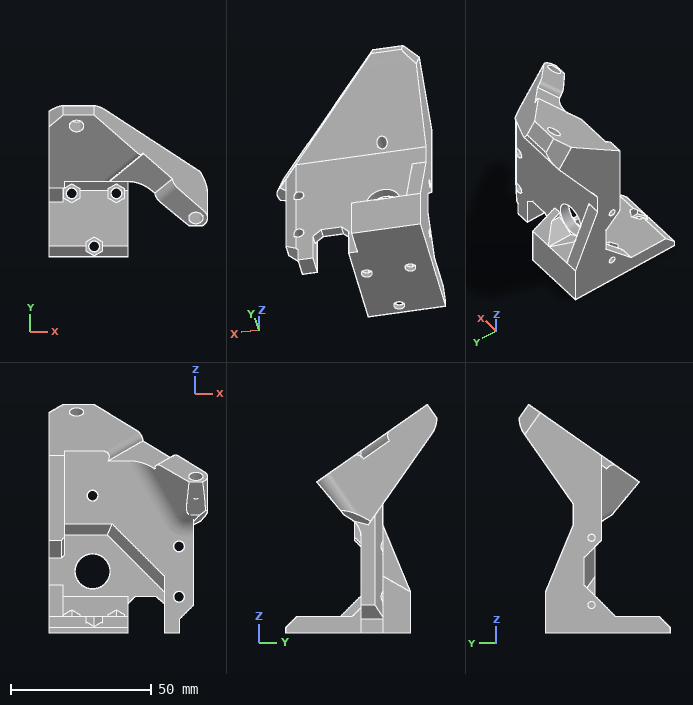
import cadquery as cq
import math

height = 81.5

wall_width = 51.6
wall_front = 26.8
wall_back = 34.6
waist_bottom = 38.6
waist_top = 45.95
rear_corner_width = 4.2
rear_corner_depth = 2.8

foot_width = 28.2
foot_back = 44.6
foot_thickness = 5.95
foot_chamfer = 4.0

tilt = 35.0
head_top_back = 50.5
head_back = 53.9
head_under_turn = 10.0
corner_chamfer = 5.05
head_top_right = 16.1

arm_tip = (52.4, -44.7)
arm_tip_radius = 4.15
arm_underside_fall = 0.62
arm_corner_cut_point = (54.1, 30.2, 39.9)
arm_corner_cut_rise = 0.6
arm_corner_cut_fall = 0.25
arm_nose_bottom = 42.0
arm_nose_y = 11.1
arm_nose_lean = 39.7
arm_edge_round = 4.1
arm_lower_edge_near = (47.7, 23.6, 39.9)
arm_root_fillet = 7.2

channel_start = 33.8
channel_end = 55.1
channel_depth = 2.85
channel_round = 3.0

flange_width = 5.6
flange_front = 24.5
flange_bottom = 33.1
flange_corner = 1.1
rib_width = 5.05
rib_start = 19.55

pocket_floor = 30.8
pocket_top = 38.95
pocket_bend_x = 22.5
leg_left = 41.15
leg_right = 46.6
leg_chamfer_bottom = 5.05

notch_top = 13.0
notch_corner = 2.6
notch_leg_run = 3.0

block_width = 25.0
block_back_top = 14.7
block_wall_top = 20.4

bore_at = (15.6, 22.0)
bore_diameter = 12.4
nut_seat_flats = 13.0
wall_hole_diameter = 3.75
wall_holes = [(15.6, 49.0), (46.35, 30.9), (46.35, 12.95)]
head_hole_diameter = 5.05
head_hole_at = (9.85, -4.7)
head_hole_depth = 6.0
arm_hole_depth = 8.0
pin_hole_diameter = 2.5
pin_hole_depth = 4.0
pin_hole_y = 28.1
pin_hole_heights = (10.0, 34.0)
foot_hole_diameter = 3.75
nut_flats = 5.8
nut_pocket_floor = 2.0
foot_holes = [(8.15, 22.65), (24.0, 22.65), (16.1, 3.75)]

far = 2 * height
above = 1.2 * height

sin_tilt = math.sin(math.radians(tilt))
cos_tilt = math.cos(math.radians(tilt))
head_plane = cq.Plane(
    origin=(0, head_top_back, height), xDir=(1, 0, 0), normal=(0, -sin_tilt, cos_tilt)
)


def side_prism(points, width):
    """Prism from X = 0 with a (Y, Z) outline."""
    return cq.Workplane("YZ").polyline(points).close().extrude(width)


def front_prism(points):
    """Prism through the whole part along Y with an (X, Z) outline."""
    return cq.Workplane("XZ").polyline(points).close().extrude(-far)


def half_space(point, normal):
    """Large block filling the side of a plane that the normal points to."""
    return cq.Workplane(cq.Plane(origin=point, normal=normal)).rect(2 * far, 2 * far).extrude(far)


tip_x, tip_v = arm_tip
tip_distance = math.hypot(tip_x - head_top_right, tip_v)
slope_angle = math.atan2(tip_v, tip_x - head_top_right) + math.asin(arm_tip_radius / tip_distance)
slope_end = (
    tip_x - arm_tip_radius * math.sin(slope_angle),
    tip_v + arm_tip_radius * math.cos(slope_angle),
)
diagonal = math.sqrt(0.5)
arm_left_end = (tip_x - arm_tip_radius * diagonal, tip_v - arm_tip_radius * diagonal)


def head_outline():
    """Tilted prism bounded by the corner chamfer, the long slope and the round arm tip."""
    outline = (
        cq.Workplane(head_plane)
        .moveTo(0, -far)
        .lineTo(0, -corner_chamfer)
        .lineTo(corner_chamfer, 0)
        .lineTo(head_top_right, 0)
        .lineTo(*slope_end)
        .threePointArc((tip_x + arm_tip_radius, tip_v), (tip_x, tip_v - arm_tip_radius))
        .lineTo(tip_x, -far)
        .close()
    )
    return outline.extrude(far, both=True)


turn_y = head_back - head_under_turn * (1 - cos_tilt)
turn_z = waist_top + (turn_y - wall_back) * cos_tilt / sin_tilt
turn_top_z = turn_z + head_under_turn * sin_tilt
half_tilt = math.radians(tilt / 2)
turn_middle = (
    head_back - head_under_turn * (1 - math.cos(half_tilt)),
    turn_top_z - head_under_turn * math.sin(half_tilt),
)


def wall_slab(front, bottom, width):
    """Slab along X, upright below the waist and leaning back above it."""
    outline = (
        cq.Workplane("YZ")
        .moveTo(front, bottom)
        .lineTo(wall_back, bottom)
        .lineTo(wall_back, waist_top)
        .lineTo(turn_y, turn_z)
        .threePointArc(turn_middle, (head_back, turn_top_z))
        .lineTo(head_back, above)
        .lineTo(front, above)
        .close()
    )
    return outline.extrude(width)


nose_lean = math.radians(arm_nose_lean)
nose_z = height - (head_top_back - arm_nose_y) * sin_tilt / cos_tilt
nose_bottom_y = arm_nose_y + (nose_z - arm_nose_bottom) * math.tan(nose_lean)


def arm_block(x_start, x_end):
    """Stretch of the arm between two X planes, open toward the long slope and the top face."""
    left_face_normal = head_plane.xDir + head_plane.yDir
    left_face_point = head_plane.toWorldCoords(arm_left_end)
    block = cq.Workplane(origin=(x_start, 0, 0)).box(x_end - x_start, wall_back, above, centered=False)
    block = block.cut(half_space(left_face_point, -left_face_normal))
    block = block.cut(half_space((0, wall_back, waist_top), (0, cos_tilt, -sin_tilt)))
    block = block.cut(half_space((0, nose_bottom_y, arm_nose_bottom), (0, -arm_underside_fall, -1)))
    nose_normal = (0, -math.cos(nose_lean), -math.sin(nose_lean))
    return block.cut(half_space((0, arm_nose_y, nose_z), nose_normal))


def rear_corner():
    """Wedge taken off the wall's right rear corner, level with the foot of the long slope."""
    outline = [
        (wall_width, wall_back),
        (wall_width - rear_corner_width, wall_back),
        (wall_width, wall_back - rear_corner_depth),
    ]
    return cq.Workplane().polyline(outline).close().extrude(waist_top)


def wall_with_arm_root():
    """Wall and the near part of the arm, blended where they meet."""
    root = arm_block(0, wall_width)
    lower_left_edge = cq.selectors.NearestToPointSelector(arm_lower_edge_near)
    root = root.edges(lower_left_edge).fillet(arm_edge_round)
    body = wall_slab(wall_front, 0, wall_width).cut(rear_corner()).union(root)
    margin = 0.1
    meeting_edges = cq.selectors.BoxSelector(
        (margin, wall_front - margin, margin),
        (wall_width - margin, wall_front + margin, above - margin),
    )
    return body.edges(meeting_edges).fillet(arm_root_fillet)


def arm_tip_block():
    """Part of the arm that reaches past the wall, with its lower corner cut away."""
    tip = arm_block(wall_width, tip_x + arm_tip_radius)
    corner_normal = (arm_corner_cut_rise, -arm_corner_cut_fall, -1)
    return tip.cut(half_space(arm_corner_cut_point, corner_normal))


def top_channel():
    """Shallow channel across the top face with rounded shoulders."""
    run = math.sqrt(channel_round**2 - (channel_round - channel_depth) ** 2)
    half_angle = math.atan2(run, channel_round - channel_depth) / 2
    arc_run = channel_round * math.sin(half_angle)
    arc_drop = channel_round * (1 - math.cos(half_angle))
    across = head_plane.xDir - head_plane.yDir
    along = head_plane.xDir + head_plane.yDir
    section = cq.Plane(origin=head_plane.origin, xDir=across, normal=along)
    outline = (
        cq.Workplane(section)
        .moveTo(channel_start, 0)
        .threePointArc(
            (channel_start + arc_run, arc_drop),
            (channel_start + run, channel_depth),
        )
        .lineTo(channel_end - run, channel_depth)
        .threePointArc((channel_end - arc_run, arc_drop), (channel_end, 0))
        .close()
    )
    return outline.extrude(far, both=True)


def head_hole(centre, depth):
    """Blind hole square to the tilted top face."""
    return cq.Workplane(head_plane).center(*centre).circle(head_hole_diameter / 2).extrude(-depth)


def flange():
    """Strip along the left edge in front of the wall, with a bevelled lower end."""
    bevel = pocket_floor - flange_front
    slab = wall_slab(flange_front, flange_bottom - (wall_back - flange_front), flange_width)
    slab = slab.cut(half_space((0, flange_front, flange_bottom), (0, -1, -1)))
    bevel_edge = cq.selectors.NearestToPointSelector(
        (flange_width, flange_front + bevel / 2, flange_bottom - bevel / 2)
    )
    return slab.edges(bevel_edge).chamfer(flange_corner, flange_corner * diagonal)


def foot():
    """Floor plate with a sloped rise to the wall, its left rib and the block behind."""
    rise_start = pocket_floor - (notch_top - foot_thickness)
    plate_outline = [
        (0, 0),
        (0, foot_thickness - foot_chamfer),
        (foot_chamfer, foot_thickness),
        (rise_start, foot_thickness),
        (pocket_floor, notch_top),
        (wall_back, notch_top),
        (wall_back, 0),
    ]
    rib_outline = [
        (rib_start, 0),
        (rib_start, foot_thickness),
        (pocket_floor, foot_thickness + pocket_floor - rib_start),
        (pocket_floor, waist_bottom),
        (wall_back, waist_bottom),
        (foot_back, block_back_top),
        (foot_back, 0),
    ]
    block_outline = [
        (wall_back, 0),
        (wall_back, block_wall_top),
        (foot_back, block_back_top),
        (foot_back, 0),
    ]
    plate = side_prism(plate_outline, foot_width)
    rib = side_prism(rib_outline, rib_width)
    block = side_prism(block_outline, block_width)
    return plate.union(rib).union(block)


def wall_pocket():
    """Recess in the wall front whose upper and diagonal sides slope at 45 degrees."""
    depth = pocket_floor - wall_front
    beyond = 2 * depth
    diagonal_foot = pocket_bend_x + pocket_top + beyond
    outline = [
        (-beyond, pocket_top),
        (pocket_bend_x, pocket_top),
        (diagonal_foot, -beyond),
        (-beyond, -beyond),
    ]
    recess = (
        cq.Workplane("XZ", origin=(0, wall_front, 0)).polyline(outline).close().extrude(-depth, taper=45)
    )
    limit = cq.Workplane().box(leg_left, height, height, centered=False)
    return recess.intersect(limit)


def wall_bottom_cuts():
    """Notch between the foot and the leg, and the step on the leg's right side."""
    notch_shoulder = notch_top - notch_corner
    notch = front_prism(
        [
            (foot_width, 0),
            (foot_width, notch_shoulder),
            (foot_width + notch_corner, notch_top),
            (leg_left - notch_leg_run, notch_top),
            (leg_left, notch_shoulder),
            (leg_left, 0),
        ]
    )
    leg_chamfer_top = leg_chamfer_bottom + wall_width - leg_right
    leg_side = front_prism(
        [
            (leg_right, 0),
            (leg_right, leg_chamfer_bottom),
            (wall_width, leg_chamfer_top),
            (wall_width, 0),
        ]
    )
    return notch.union(leg_side)


def hole_along_y(x, z, diameter):
    """Round hole through the whole part along Y."""
    return cq.Workplane("XZ").center(x, z).circle(diameter / 2).extrude(-height)


def hexagon_diameter(flats):
    """Corner to corner size of a hexagon from its size across flats."""
    return flats / math.cos(math.pi / 6)


def nut_seat():
    """Hexagonal seat in the block behind the bore, with one point down."""
    return (
        cq.Workplane("XZ", origin=(0, wall_back, 0))
        .center(*bore_at)
        .transformed(rotate=(0, 0, 90))
        .polygon(6, hexagon_diameter(nut_seat_flats))
        .extrude(-height)
    )


def pin_hole(z):
    """Blind hole in the left side."""
    return cq.Workplane("YZ").center(pin_hole_y, z).circle(pin_hole_diameter / 2).extrude(pin_hole_depth)


def foot_nut_hole(x, y):
    """Screw hole with a hexagonal nut pocket open to the top of the foot."""
    screw = cq.Workplane().center(x, y).circle(foot_hole_diameter / 2).extrude(nut_pocket_floor)
    nut = (
        cq.Workplane(origin=(0, 0, nut_pocket_floor))
        .center(x, y)
        .transformed(rotate=(0, 0, 90))
        .polygon(6, hexagon_diameter(nut_flats))
        .extrude(notch_top - nut_pocket_floor)
    )
    return screw.union(nut)


body = wall_with_arm_root().cut(wall_pocket()).cut(wall_bottom_cuts())
body = body.union(arm_tip_block()).union(flange())
body = body.intersect(head_outline())
body = body.cut(half_space(head_plane.origin, head_plane.zDir))
body = body.cut(top_channel())
body = body.union(foot())
body = body.cut(nut_seat()).cut(hole_along_y(*bore_at, bore_diameter))
for x, z in wall_holes:
    body = body.cut(hole_along_y(x, z, wall_hole_diameter))
for x, y in foot_holes:
    body = body.cut(foot_nut_hole(x, y))
for z in pin_hole_heights:
    body = body.cut(pin_hole(z))
body = body.cut(head_hole(head_hole_at, head_hole_depth))
body = body.cut(head_hole(arm_tip, arm_hole_depth))

result = body